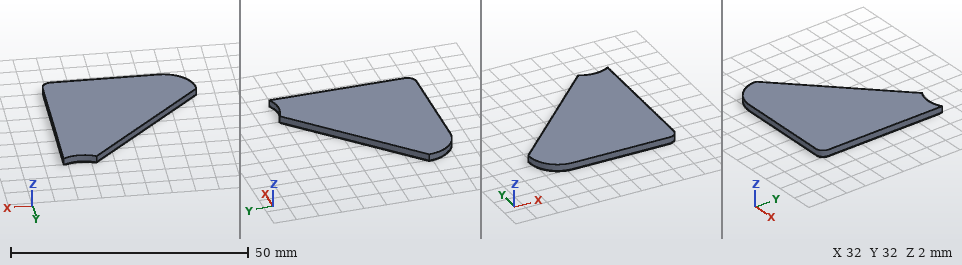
import cadquery as cq
import math

side = 32.0
thickness = 2.0
gauge_radius = 7.0
corner_radius = 2.0
bottom_chamfer = 0.48

tip_left = side - gauge_radius
tip_middle = side - gauge_radius / 2
tip_depth = gauge_radius * (1 - math.cos(math.radians(30)))


def corner_arc_middle(radius):
    """Distance from each leg to the middle of an arc tangent to both legs."""
    return radius * (1 - math.sqrt(0.5))


def plate_outline():
    large = corner_arc_middle(gauge_radius)
    small = corner_arc_middle(corner_radius)
    return (
        cq.Workplane("XY")
        .moveTo(gauge_radius, 0)
        .lineTo(side - corner_radius, 0)
        .threePointArc((side - small, small), (side, corner_radius))
        .lineTo(side, side)
        .threePointArc((tip_middle, side - tip_depth), (tip_left, side))
        .lineTo(0, gauge_radius)
        .threePointArc((large, large), (gauge_radius, 0))
        .close()
    )


plate = plate_outline().extrude(thickness)

result = plate.faces("<Z").chamfer(bottom_chamfer)